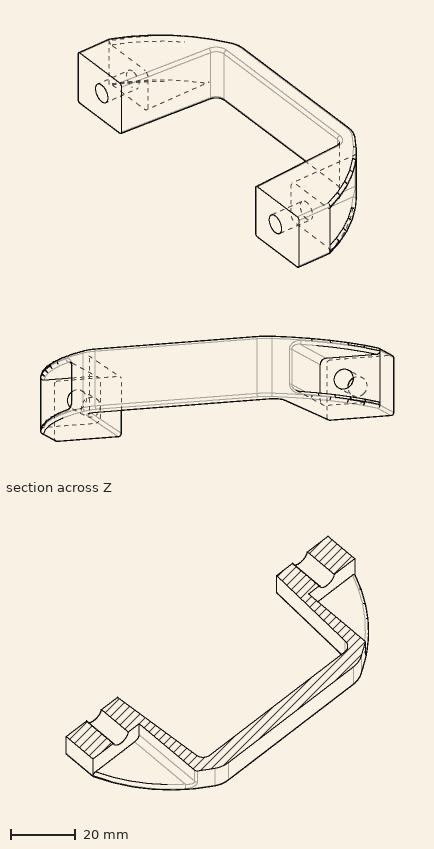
import cadquery as cq

length = 112.0
height = 42.0
width = 19.0
half_length = length / 2

shoulder_height = 12.1
arc_middle_inset = 9.9
arc_middle_height = 28.3
arc_end_inset = 27.0
crown_radius = 9.0

foot_length = 22.1
leg_top_inset = 24.4
grip_thickness = 6.2
inner_corner_radius = 3.0

outer_edge_radius = 0.9
inner_edge_radius = 1.0

pocket_width = 14.9
pocket_end_inset = 19.7
pocket_corner_radius = 1.9
pocket_rim_radius = 1.0
hole_inset = 12.0
hole_rise = 0.5
hole_diameter = 6.3


def outer_body():
    """Solid inside the outer outline, with its long edges rounded."""
    return (
        cq.Workplane("XY", origin=(0, 0, -width / 2))
        .moveTo(-half_length, 0)
        .lineTo(-half_length, shoulder_height)
        .threePointArc(
            (arc_middle_inset - half_length, arc_middle_height),
            (arc_end_inset - half_length, height),
        )
        .lineTo(half_length - arc_end_inset, height)
        .threePointArc(
            (half_length - arc_middle_inset, arc_middle_height),
            (half_length, shoulder_height),
        )
        .lineTo(half_length, 0)
        .close()
        .extrude(width)
        .edges("|Z and >Y")
        .fillet(crown_radius)
        .faces("<Z or >Z")
        .edges("not(<Y)")
        .fillet(outer_edge_radius)
    )


def hand_opening():
    """Tapered opening between the legs, with rounded upper corners."""
    bottom_half = half_length - foot_length
    top_half = half_length - leg_top_inset
    opening_height = height - grip_thickness
    return (
        cq.Workplane("XY", origin=(0, 0, -width / 2))
        .polyline([
            (-bottom_half, 0),
            (-top_half, opening_height),
            (top_half, opening_height),
            (bottom_half, 0),
        ])
        .close()
        .extrude(width)
        .edges("|Z and >Y")
        .fillet(inner_corner_radius)
    )


def round_opening_edges(body):
    """Round the long edges of the opening, leaving the feet sharp."""
    margin = 0.1
    reach_x = half_length - foot_length + margin
    reach_y = height - grip_thickness + margin
    reach_z = width / 2 + margin
    opening_box = cq.selectors.BoxSelector(
        (-reach_x, -margin, -reach_z),
        (reach_x, reach_y, reach_z),
        boundingbox=True,
    )
    return body.faces("<Z or >Z").edges("not(<Y)").edges(opening_box).fillet(inner_edge_radius)


def round_pocket_rim(body, side):
    """Round the edges where the pocket walls break through the curved end."""
    margin = 0.1
    near_x = side * (half_length - pocket_end_inset - margin)
    far_x = side * (half_length + margin)
    rim_box = cq.selectors.BoxSelector(
        (min(near_x, far_x), shoulder_height - margin, -pocket_width / 2 - margin),
        (max(near_x, far_x), height, pocket_width / 2 + margin),
        boundingbox=True,
    )
    above_seat = cq.selectors.BoxSelector(
        (-length, shoulder_height + margin, -width), (length, height, width)
    )
    rim_edges = body.edges(rim_box).edges("not(|X or |Y)").edges(above_seat)
    return rim_edges.fillet(pocket_rim_radius)


def screw_pocket(side):
    """Pocket open to the curved end, with the screw seat as its floor."""
    depth = pocket_end_inset
    return (
        cq.Workplane("XY")
        .box(2 * depth, height, pocket_width)
        .edges("|Y")
        .fillet(pocket_corner_radius)
        .translate((side * half_length, shoulder_height + height / 2, 0))
    )


def screw_hole(side):
    """Through hole from the foot to the screw seat."""
    return (
        cq.Workplane("XZ", origin=(side * (half_length - hole_inset), 0, hole_rise))
        .circle(hole_diameter / 2)
        .extrude(-shoulder_height)
    )


result = round_opening_edges(outer_body().cut(hand_opening()))
for end in (-1, 1):
    result = result.cut(screw_pocket(end))
    result = round_pocket_rim(result, end)
    result = result.cut(screw_hole(end))